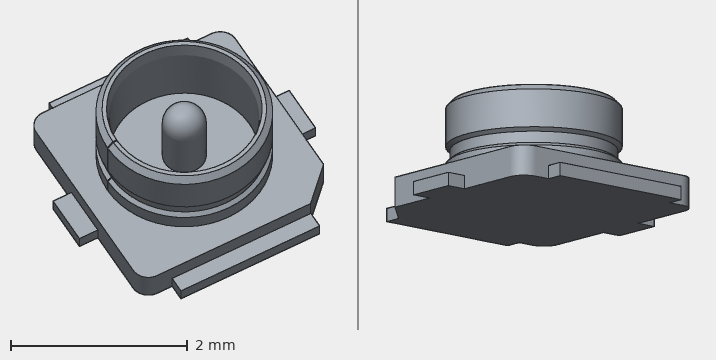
import cadquery as cq

BASE_SIDE = 2.6
BASE_HEIGHT = 0.35
CORNER_RADIUS = 0.2
CORNER_CHAMFER = 0.4

SPAN_X = 3.0
SPAN_Y = 3.08
TAB_HEIGHT = 0.155
SIDE_TAB_WIDTH = 1.81
END_TAB_WIDTH = 0.6

TOTAL_HEIGHT = 1.25
RING_RADIUS = 1.0
GROOVE_RADIUS = 0.95
BORE_RADIUS = 0.85
RIM_CHAMFER = 0.07
LEAD_IN_RADIUS = 0.88
LEAD_IN_DEPTH = 0.16
GROOVE_BOTTOM = 0.57
GROOVE_TOP = 0.70
GROOVE_BEVEL_HEIGHT = 0.04
SLIT_WIDTH = 0.01

PIN_RADIUS = 0.25
PIN_TOP = 1.21


def make_base():
    """Square plate with three rounded corners and one chamfered index corner."""
    plate = cq.Workplane("XY").rect(BASE_SIDE, BASE_SIDE).extrude(BASE_HEIGHT)
    plate = plate.edges("|Z").edges(">(1, 1, 0)").chamfer(CORNER_CHAMFER)
    for corner in ("<(1, 1, 0)", ">(1, -1, 0)", "<(1, -1, 0)"):
        plate = plate.edges("|Z").edges(corner).fillet(CORNER_RADIUS)
    return plate


def make_tab_bar(length_x, length_y):
    """Flat bar through the plate whose two ends project as solder tabs."""
    return cq.Workplane("XY").rect(length_x, length_y).extrude(TAB_HEIGHT)


def make_ring():
    """Contact ring with an outer snap groove, a tapered lead-in and a slit on the -Y side."""
    profile = [
        (BORE_RADIUS, 0),
        (RING_RADIUS, 0),
        (RING_RADIUS, GROOVE_BOTTOM - GROOVE_BEVEL_HEIGHT),
        (GROOVE_RADIUS, GROOVE_BOTTOM),
        (GROOVE_RADIUS, GROOVE_TOP),
        (RING_RADIUS, GROOVE_TOP + GROOVE_BEVEL_HEIGHT),
        (RING_RADIUS, TOTAL_HEIGHT - RIM_CHAMFER),
        (RING_RADIUS - RIM_CHAMFER, TOTAL_HEIGHT),
        (LEAD_IN_RADIUS, TOTAL_HEIGHT),
        (BORE_RADIUS, TOTAL_HEIGHT - LEAD_IN_DEPTH),
    ]
    ring = cq.Workplane("XZ").polyline(profile).close().revolve(360, (0, 0), (0, 1))
    slit = cq.Workplane("XY").box(SLIT_WIDTH, RING_RADIUS, TOTAL_HEIGHT, centered=(True, True, False))
    return ring.cut(slit.translate((0, -RING_RADIUS, 0)))


def make_pin():
    """Cylindrical centre contact with a hemispherical tip."""
    dome_base = PIN_TOP - PIN_RADIUS
    shank = cq.Workplane("XY").circle(PIN_RADIUS).extrude(dome_base)
    dome = cq.Workplane("XY").sphere(PIN_RADIUS).translate((0, 0, dome_base))
    return shank.union(dome)


result = (
    make_base()
    .union(make_tab_bar(SPAN_X, SIDE_TAB_WIDTH))
    .union(make_tab_bar(END_TAB_WIDTH, SPAN_Y))
    .union(make_ring())
    .union(make_pin())
)